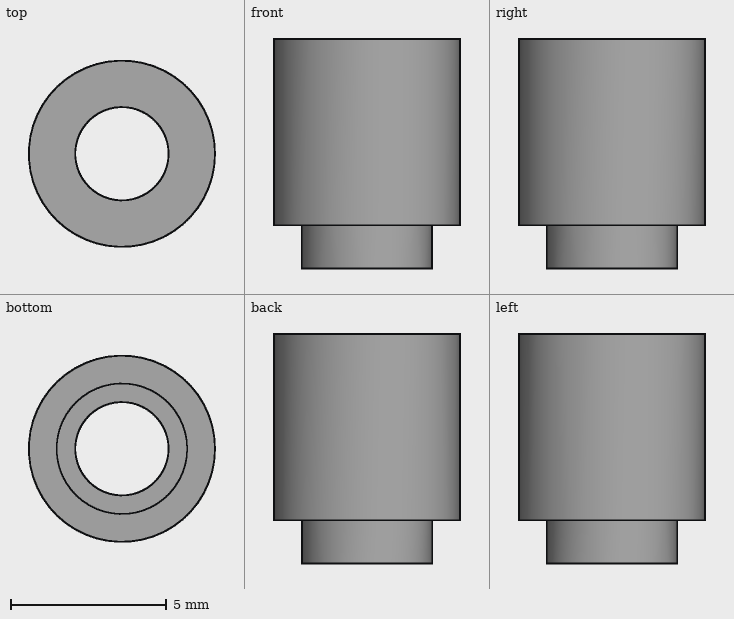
import cadquery as cq

total_height = 7.4
body_diameter = 6.0
body_height = body_diameter
spigot_diameter = 4.2
bore_diameter = 3.0
spigot_height = total_height - body_height

spigot = cq.Workplane("XY").circle(spigot_diameter / 2).extrude(spigot_height)

body = (
    cq.Workplane("XY")
    .workplane(offset=spigot_height)
    .circle(body_diameter / 2)
    .extrude(body_height)
)

bore = cq.Workplane("XY").circle(bore_diameter / 2).extrude(total_height)

result = spigot.union(body).cut(bore)